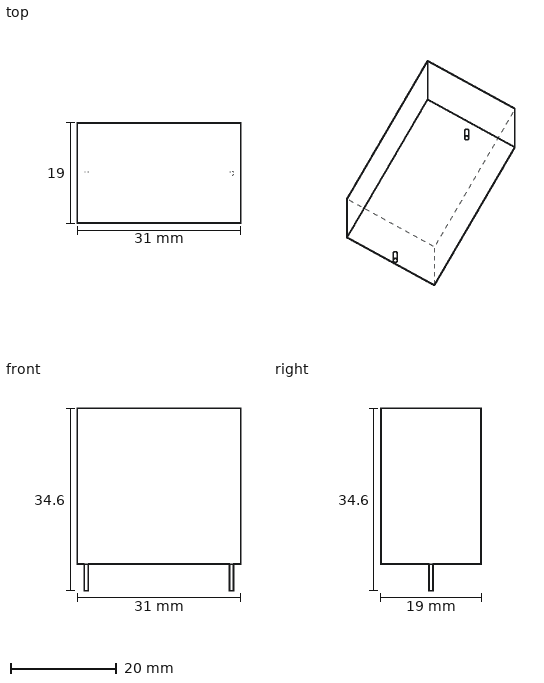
import cadquery as cq

total_height = 34.6
case_length = 31.0
case_width = 19.0
case_height = 29.5
pin_diameter = 0.8
pin_pitch = 27.5

pin_length = total_height - case_height


def make_case():
    """Plain rectangular case standing on the plane Z = 0."""
    return cq.Workplane("XY").box(
        case_length, case_width, case_height, centered=(True, True, False)
    )


def make_pin(x):
    """Round pin hanging from the underside of the case, midway across its width."""
    return cq.Workplane("XY").center(x, 0).circle(pin_diameter / 2).extrude(-pin_length)


case = make_case()

pins = []
for side in (-1, 1):
    pins.append(make_pin(side * pin_pitch / 2).val())

result = cq.Compound.makeCompound([case.val(), *pins])